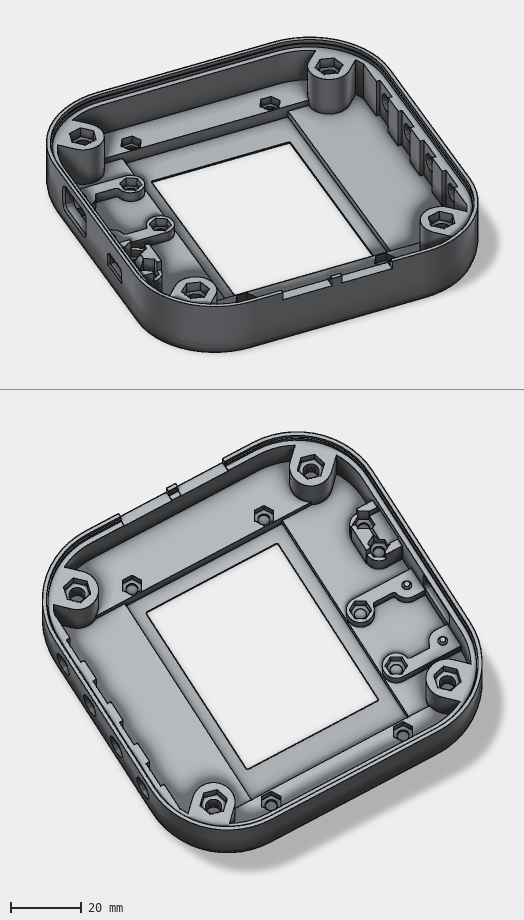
import cadquery as cq
import math

SIDE = 105.0
HEIGHT = 17.5
half = SIDE / 2
CORNER_RADIUS = 25.0
FOOT_INSET = 1.0
BEVEL_INSET = 0.3
BEVEL_LOW_Z = 2.0
BEVEL_HIGH_Z = 4.0

WALL = 3.2
THICK_WALL = 4.6
LEDGE_Z = 15.2
LIP_STEP_Z = 16.4
LIP_TOP_WIDTH = 1.2
LIP_BASE_WIDTH = 1.6
LIP_GAPS = ((0.9, 16.7), (-17.5, -2.1))
LIP_GAP_DROP = 0.3

SCREEN_FLOOR_Z = 0.5
MAIN_FLOOR_Z = 2.6
SIDE_FLOOR_Z = 4.5
CENTER_X_MIN = -39.1
CENTER_X_MAX = 33.2
SCREEN_RECESS_WIDTH = 51.9
WINDOW_X = 57.2
WINDOW_Y = 43.5
WINDOW_RADIUS = 0.5

HEX_SIDES = 6
M3_HEX = 6.3
M3_HOLE = 3.5
M3_HEX_DEPTH = 2.5
M3_HOLE_DEPTH = 0.9
POINTS_ALONG_Y = 30
M4_HEX = 8.0
M4_HOLE = 4.6
M4_HEX_DEPTH = 3.2
M4_HOLE_DEPTH = 5.2

CORNER_POST_POSITION = 38.5
CORNER_POST_RADIUS = 6.1

SCREEN_NUT_XS = (-42.3, 36.3)
SCREEN_NUT_Y = 21.7

LED_COUNT = 4
LED_PITCH = 15.0
LED_NOTCH_WIDTH = 8.2
LED_NOTCH_DEPTH = 1.2
LED_HOLE = 5.4
LED_Z = 10.0
LED_BORE = 6.9
LED_BORE_DEPTH = 1.7

BEVEL_ANGLE = 45
PORT_X = -13.8
PORT_Z = 10.5
PORT_WIDTH = 16.1
PORT_HEIGHT = 9.1
PORT_RADIUS = 2.3
PORT_BEVEL = 0.6
PORT_BOSS_RADIUS = 4.0
PORT_BOSS_SPACING = 20.3
PORT_BOSS_Y = -30.2
PORT_PEG_Y = -45.6
PEG_BASE_RADIUS = 1.4
PEG_TOP_RADIUS = 0.8
PEG_HEIGHT = 0.9
PORT_BRACKET_TOP_Z = 5.8
PORT_HEX_DEPTH = 2.9
PORT_BRACKET_FILLET = 0.9

USB_X = 13.8
USB_WIDTH = 9.7
USB_BOTTOM_Z = 7.8
USB_TOP_Z = 12.4
USB_CORNER = 1.4
USB_BEVEL = 0.5
USB_NUT_SPACING = 8.6
USB_NUT_Y = -44.0
USB_BOSS_RADIUS = 4.0
USB_BOARD_Z = USB_BOTTOM_Z + USB_BEVEL
USB_BOARD_WIDTH = 11.5
USB_RAIL_TOP_Z = 11.4
USB_FRONT_SKIN = 1.7
USB_STOP_DEPTH = 4.2
USB_STOP_SLOPE = 1.5


def rounded_square(inset):
    """Square outline with round corners, inset from the outer outline."""
    side = SIDE - 2 * inset
    return cq.Sketch().rect(side, side).vertices().fillet(CORNER_RADIUS - inset)


def rounded_plate(inset, bottom, top):
    """Solid between two heights with the rounded square outline."""
    return cq.Workplane("XY", origin=(0, 0, bottom)).placeSketch(rounded_square(inset)).extrude(top - bottom)


def bevel_band(low_inset, low_z, high_inset, high_z):
    """Sloping band between two inset outlines."""
    lower = rounded_square(low_inset).moved(cq.Location(cq.Vector(0, 0, low_z)))
    upper = rounded_square(high_inset).moved(cq.Location(cq.Vector(0, 0, high_z)))
    return cq.Workplane("XY").placeSketch(lower, upper).loft(ruled=True)


def block(x_range, y_range, z_range):
    """Box given by its limits along the three axes."""
    (x0, x1), (y0, y1), (z0, z1) = x_range, y_range, z_range
    return cq.Workplane("XY").box(x1 - x0, y1 - y0, z1 - z0, centered=False).translate((x0, y0, z0))


def cylinder(x, y, diameter, bottom, top):
    return cq.Workplane("XY", origin=(x, y, bottom)).circle(diameter / 2).extrude(top - bottom)


def nut_socket(x, y, top, across, hole, hex_depth, hole_depth, turn=0):
    """Hexagonal nut pocket with a blind screw hole below it."""
    pocket = cq.Workplane("XY").polygon(HEX_SIDES, across).extrude(hex_depth)
    pocket = pocket.rotate((0, 0, 0), (0, 0, 1), turn).translate((x, y, top - hex_depth))
    return pocket.union(cylinder(x, y, hole, top - hole_depth, top))


def m3_socket(x, y, top, hex_depth=M3_HEX_DEPTH, turn=0):
    return nut_socket(x, y, top, M3_HEX, M3_HOLE, hex_depth, hex_depth + M3_HOLE_DEPTH, turn)


def back_wall_bore(x, diameter, depth):
    """Round bore from the outer +Y face inwards."""
    return cq.Workplane("XZ", origin=(x, half, LED_Z)).circle(diameter / 2).extrude(depth)


body = rounded_plate(0, BEVEL_HIGH_Z, HEIGHT)
body = body.union(bevel_band(BEVEL_INSET, BEVEL_LOW_Z, 0, BEVEL_HIGH_Z))
body = body.union(bevel_band(FOOT_INSET, 0, BEVEL_INSET, BEVEL_LOW_Z))

inner_front = -half + WALL
inner_back = half - THICK_WALL
everywhere = (-half, half)
interior_y = (-half, inner_back)
center_x = (CENTER_X_MIN, CENTER_X_MAX)
pad_y = (-CORNER_POST_POSITION, CORNER_POST_POSITION)
screen_y = (-SCREEN_RECESS_WIDTH / 2, SCREEN_RECESS_WIDTH / 2)

inner_outline = rounded_plate(WALL, 0, LEDGE_Z)
cavity = block(everywhere, interior_y, (MAIN_FLOOR_Z, LEDGE_Z))
for pad_x in ((-half, CENTER_X_MIN), (CENTER_X_MAX, half)):
    cavity = cavity.cut(block(pad_x, pad_y, (MAIN_FLOOR_Z, SIDE_FLOOR_Z)))
cavity = cavity.union(block(center_x, screen_y, (SCREEN_FLOOR_Z, LEDGE_Z)))
cavity = cavity.intersect(inner_outline)
body = body.cut(cavity)

window = block((-WINDOW_X / 2, WINDOW_X / 2), (-WINDOW_Y / 2, WINDOW_Y / 2), (0, HEIGHT))
body = body.cut(window.edges("|Z").fillet(WINDOW_RADIUS))

body = body.cut(rounded_plate(LIP_BASE_WIDTH, LEDGE_Z, HEIGHT))
body = body.cut(rounded_plate(LIP_TOP_WIDTH, LIP_STEP_Z, HEIGHT))
for gap in LIP_GAPS:
    body = body.cut(block((half - WALL, half), gap, (LEDGE_Z - LIP_GAP_DROP, HEIGHT)))

for quadrant in range(4):
    angle = 45 + 90 * quadrant
    reach = CORNER_POST_POSITION * math.sqrt(2)
    post = cylinder(reach, 0, 2 * CORNER_POST_RADIUS, MAIN_FLOOR_Z, LEDGE_Z)
    arm_y = (-CORNER_POST_RADIUS, CORNER_POST_RADIUS)
    post = post.union(block((reach, SIDE), arm_y, (MAIN_FLOOR_Z, LEDGE_Z)))
    post = post.rotate((0, 0, 0), (0, 0, 1), angle)
    post = post.intersect(rounded_plate(LIP_BASE_WIDTH, MAIN_FLOOR_Z, LEDGE_Z))
    socket = nut_socket(reach, 0, LEDGE_Z, M4_HEX, M4_HOLE, M4_HEX_DEPTH, M4_HEX_DEPTH + M4_HOLE_DEPTH)
    body = body.union(post).cut(socket.rotate((0, 0, 0), (0, 0, 1), angle))

for x in SCREEN_NUT_XS:
    for y in (-SCREEN_NUT_Y, SCREEN_NUT_Y):
        body = body.cut(m3_socket(x, y, SIDE_FLOOR_Z, turn=POINTS_ALONG_Y))

for index in range(LED_COUNT):
    x = (index - (LED_COUNT - 1) / 2) * LED_PITCH
    notch_x = (x - LED_NOTCH_WIDTH / 2, x + LED_NOTCH_WIDTH / 2)
    notch_y = (inner_back, inner_back + LED_NOTCH_DEPTH)
    body = body.cut(block(notch_x, notch_y, (MAIN_FLOOR_Z, LEDGE_Z)))
    body = body.cut(back_wall_bore(x, LED_HOLE, THICK_WALL))
    body = body.cut(back_wall_bore(x, LED_BORE, LED_BORE_DEPTH))


def port_bracket():
    """Left bracket: nut boss and peg boss joined by a narrow strip, open towards the wall."""
    x = PORT_X - PORT_BOSS_SPACING / 2
    heights = (MAIN_FLOOR_Z, PORT_BRACKET_TOP_Z)
    strip = block((x - PORT_BOSS_RADIUS, x), (inner_front, PORT_BOSS_Y), heights)
    foot = block((x - PORT_BOSS_RADIUS, x + PORT_BOSS_RADIUS), (inner_front, PORT_PEG_Y), heights)
    bracket = strip.union(foot)
    for y in (PORT_BOSS_Y, PORT_PEG_Y):
        bracket = bracket.union(cylinder(x, y, 2 * PORT_BOSS_RADIUS, *heights))
    middle_z = sum(heights) / 2
    for y in (PORT_BOSS_Y - PORT_BOSS_RADIUS, PORT_PEG_Y + PORT_BOSS_RADIUS):
        corner = cq.NearestToPointSelector((x, y, middle_z))
        bracket = bracket.edges("|Z").edges(corner).fillet(PORT_BRACKET_FILLET)
    peg = cq.Solid.makeCone(
        PEG_BASE_RADIUS, PEG_TOP_RADIUS, PEG_HEIGHT, cq.Vector(x, PORT_PEG_Y, PORT_BRACKET_TOP_Z))
    socket = m3_socket(x, PORT_BOSS_Y, PORT_BRACKET_TOP_Z, hex_depth=PORT_HEX_DEPTH)
    return bracket.union(cq.Workplane(peg)).cut(socket)


def beveled_opening(outline, bevel):
    """Opening through the -Y wall that narrows over a bevel at the outer face."""
    mouth = outline(0).extrude(bevel, taper=BEVEL_ANGLE)
    return mouth.union(outline(bevel).extrude(WALL))


def wall_sketch(x):
    """Workplane on the outer -Y face, extruding inwards, with its first axis along -X."""
    return cq.Workplane(cq.Plane(origin=(x, -half, 0), xDir=(-1, 0, 0), normal=(0, 1, 0)))


def port_outline(inset):
    outline = cq.Sketch().rect(PORT_WIDTH - 2 * inset, PORT_HEIGHT - 2 * inset)
    outline = outline.vertices().fillet(PORT_RADIUS - inset)
    return wall_sketch(PORT_X).center(0, PORT_Z).placeSketch(outline)


left_bracket = port_bracket()
right_bracket = left_bracket.mirror("YZ", (PORT_X, 0, 0))
body = body.union(left_bracket).union(right_bracket)
body = body.cut(beveled_opening(port_outline, PORT_BEVEL))


def usb_seat():
    """Base with two nut bosses, a rail on each side of the board and a sloped stop behind it."""
    left = USB_X - USB_NUT_SPACING / 2
    right = USB_X + USB_NUT_SPACING / 2
    outer_x = (left - USB_BOSS_RADIUS, right + USB_BOSS_RADIUS)
    seat = block(outer_x, (inner_front, USB_NUT_Y), (MAIN_FLOOR_Z, USB_RAIL_TOP_Z))
    seat = seat.cut(block(board_x, (inner_front, USB_NUT_Y), (USB_BOARD_Z, USB_RAIL_TOP_Z)))
    for x in (left, right):
        seat = seat.union(cylinder(x, USB_NUT_Y, 2 * USB_BOSS_RADIUS, MAIN_FLOOR_Z, USB_BOARD_Z))

    stop_profile = [
        (USB_NUT_Y - USB_STOP_SLOPE, USB_BOARD_Z),
        (USB_NUT_Y, USB_RAIL_TOP_Z),
        (USB_NUT_Y + USB_STOP_DEPTH, USB_RAIL_TOP_Z),
        (USB_NUT_Y + USB_STOP_DEPTH, MAIN_FLOOR_Z),
        (USB_NUT_Y - USB_STOP_SLOPE, MAIN_FLOOR_Z),
    ]
    stop = cq.Workplane("YZ", origin=(left, 0, 0)).polyline(stop_profile).close().extrude(USB_NUT_SPACING)
    seat = seat.union(stop)

    full_hex_depth = USB_RAIL_TOP_Z - USB_BOARD_Z + M3_HEX_DEPTH
    for x in (left, right):
        seat = seat.cut(m3_socket(x, USB_NUT_Y, USB_RAIL_TOP_Z, hex_depth=full_hex_depth))
    return seat


def usb_outline(inset):
    height = USB_TOP_Z - USB_BOTTOM_Z
    outline = cq.Sketch().rect(USB_WIDTH - 2 * inset, height - 2 * inset)
    outline = outline.vertices(">Y").fillet(USB_CORNER - inset)
    return wall_sketch(USB_X).center(0, USB_BOTTOM_Z + height / 2).placeSketch(outline)


board_x = (USB_X - USB_BOARD_WIDTH / 2, USB_X + USB_BOARD_WIDTH / 2)
board_slot_y = (-half + USB_FRONT_SKIN, inner_front)
body = body.union(usb_seat())
body = body.cut(block(board_x, board_slot_y, (USB_BOARD_Z, USB_TOP_Z)))
body = body.cut(beveled_opening(usb_outline, USB_BEVEL))

result = body